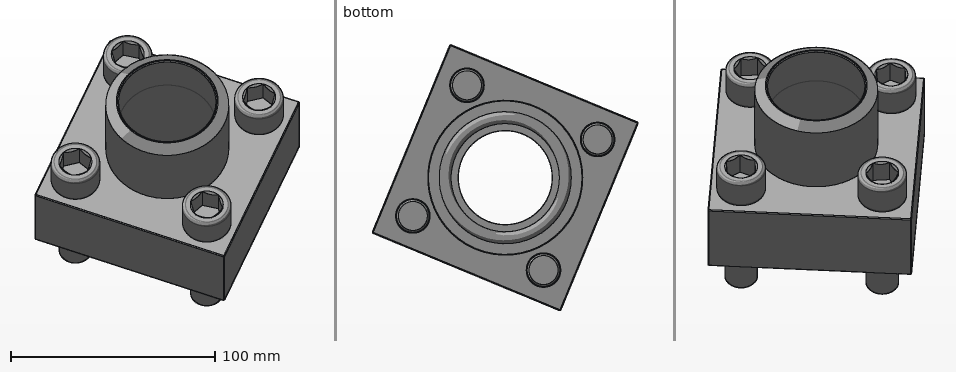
import cadquery as cq
import math

PLATE_SPAN = 130.3
PLATE_HEIGHT = 38.0
PLATE_CHAMFER = 0.5
PLATE_ANGLE = 22.5

NECK_DIA = 60.3
NECK_HEIGHT = 40.0
BEVEL_WIDTH = 5.2
BEVEL_HEIGHT = 3.3

BORE_DIA = 47.7
BORE_DEPTH = 20.0
BORE_CHAMFER = 0.5
THROAT_DIA = 46.0

FACE_DIA = 76.0
FACE_HEIGHT = 2.0
FACE_CHAMFER = 0.4
GROOVE_INNER_DIA = 53.0
GROOVE_OUTER_DIA = 64.8

RING_PROTRUSION = 1.2

SCREW_COUNT = 4
BOLT_CIRCLE_DIA = 98.0
SHANK_DIA = 16.0
SHANK_LENGTH = 60.0
SHANK_CHAMFER_WIDTH = 0.9
SHANK_CHAMFER_HEIGHT = 1.2
HOLE_DIA = 17
HEAD_DIA = 24.0
HEAD_HEIGHT = 16.0
HEAD_FILLET = 1.5
SOCKET_CORNER_DIA = 16.2
SOCKET_DEPTH = 11.7
SOCKET_CHAMFER_ANGLE = 45
SOCKET_TURN = -7.5

TURN_COS = math.cos(math.radians(PLATE_ANGLE))
TURN_SIN = math.sin(math.radians(PLATE_ANGLE))
PLATE_SIDE = (PLATE_SPAN + 2 * PLATE_CHAMFER * TURN_SIN) / (TURN_COS + TURN_SIN)
RING_SECTION_DIA = (GROOVE_OUTER_DIA - GROOVE_INNER_DIA) / 2
NECK_TOP = PLATE_HEIGHT + NECK_HEIGHT
FIRST_SCREW_ANGLE = PLATE_ANGLE + 45
SCREW_STEP = 360 / SCREW_COUNT
GROOVE_DEPTH = RING_SECTION_DIA - RING_PROTRUSION


def cylinder(diameter, bottom, height):
    return cq.Workplane("XY").workplane(offset=bottom).circle(diameter / 2).extrude(height)


def place_on_bolt_circle(shape, index):
    """Move a shape from the Z axis to one screw position, turning it with the pattern."""
    angle = FIRST_SCREW_ANGLE + index * SCREW_STEP
    return shape.translate((BOLT_CIRCLE_DIA / 2, 0, 0)).rotate((0, 0, 0), (0, 0, 1), angle)


def make_plate():
    plate = cq.Workplane("XY").rect(PLATE_SIDE, PLATE_SIDE).extrude(PLATE_HEIGHT)
    return plate.edges().chamfer(PLATE_CHAMFER).rotate((0, 0, 0), (0, 0, 1), PLATE_ANGLE)


def make_neck():
    neck = cylinder(NECK_DIA, PLATE_HEIGHT, NECK_HEIGHT)
    return neck.faces(">Z").chamfer(BEVEL_HEIGHT, BEVEL_WIDTH)


def make_passage():
    """Solid that fills the passage, revolved about Z."""
    bore_radius = BORE_DIA / 2
    throat_radius = THROAT_DIA / 2
    profile = (
        cq.Workplane("XZ")
        .moveTo(0, NECK_TOP)
        .lineTo(bore_radius + BORE_CHAMFER, NECK_TOP)
        .lineTo(bore_radius, NECK_TOP - BORE_CHAMFER)
        .lineTo(bore_radius, NECK_TOP - BORE_DEPTH)
        .lineTo(throat_radius, -FACE_HEIGHT)
        .lineTo(0, -FACE_HEIGHT)
        .close()
    )
    return profile.revolve()


def make_groove():
    outer = cylinder(GROOVE_OUTER_DIA, -FACE_HEIGHT, GROOVE_DEPTH)
    return outer.cut(cylinder(GROOVE_INNER_DIA, -FACE_HEIGHT, GROOVE_DEPTH))


def make_sealing_face():
    return cylinder(FACE_DIA, -FACE_HEIGHT, FACE_HEIGHT).faces("<Z").chamfer(FACE_CHAMFER)


def make_flange():
    flange = make_plate().union(make_neck()).union(make_sealing_face())
    flange = flange.cut(make_passage()).cut(make_groove())
    hole = cylinder(HOLE_DIA, 0, PLATE_HEIGHT)
    for index in range(SCREW_COUNT):
        flange = flange.cut(place_on_bolt_circle(hole, index))
    return flange


def make_seal_ring():
    section_radius = RING_SECTION_DIA / 2
    ring_radius = GROOVE_INNER_DIA / 2 + section_radius
    ring_height = section_radius - RING_PROTRUSION - FACE_HEIGHT
    section = cq.Workplane("XZ").center(ring_radius, ring_height).circle(section_radius)
    return section.revolve(360, (-ring_radius, 0, 0), (-ring_radius, 1, 0))


def make_head():
    head = cylinder(HEAD_DIA, PLATE_HEIGHT, HEAD_HEIGHT)
    return head.edges("%CIRCLE").fillet(HEAD_FILLET)


def make_socket():
    """Hexagon recess with a conical lead-in that starts at the hexagon corners."""
    head_top = PLATE_HEIGHT + HEAD_HEIGHT
    outline = cq.Workplane("XY").workplane(offset=head_top).polygon(6, SOCKET_CORNER_DIA)
    hexagon = outline.extrude(-SOCKET_DEPTH)
    hexagon = hexagon.rotate((0, 0, 0), (0, 0, 1), SOCKET_TURN)
    corner_radius = SOCKET_CORNER_DIA / 2
    cone_depth = corner_radius * math.tan(math.radians(SOCKET_CHAMFER_ANGLE))
    lead_in = cq.Solid.makeCone(0, corner_radius, cone_depth, cq.Vector(0, 0, head_top - cone_depth))
    return hexagon.union(cq.Workplane(lead_in))


def make_screw():
    shank = cylinder(SHANK_DIA, PLATE_HEIGHT - SHANK_LENGTH, SHANK_LENGTH)
    shank = shank.faces("<Z").chamfer(SHANK_CHAMFER_HEIGHT, SHANK_CHAMFER_WIDTH)
    return make_head().union(shank).cut(make_socket())


flange = make_flange()
seal_ring = make_seal_ring()
screw = make_screw()
screws = [place_on_bolt_circle(screw, index) for index in range(SCREW_COUNT)]

result = cq.Compound.makeCompound([flange.val(), seal_ring.val(), *[s.val() for s in screws]])